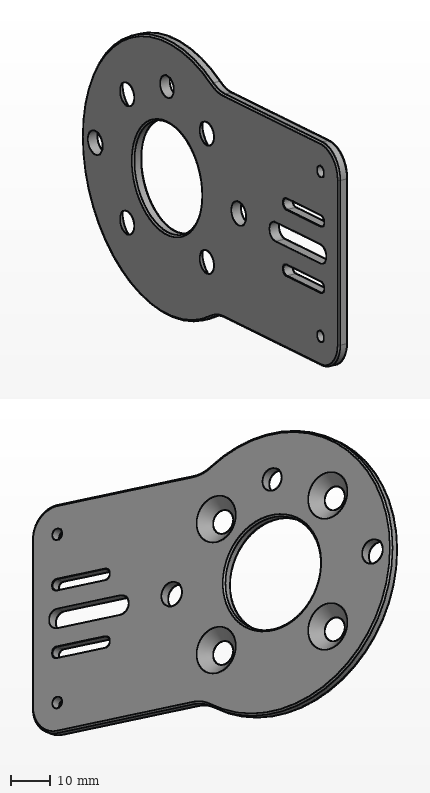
import cadquery as cq
import math

overall_length = 113.0
thickness = 3.0
disc_diameter = 75.0
disc_radius = disc_diameter / 2
tab_end_x = overall_length - disc_radius
tab_half_width = 30.5
corner_radius = 8.0
neck_radius = 10.0
edge_chamfer = 0.5

bore_diameter = 30.0
corner_hole_diameter = 6.2
corner_hole_offset = 17.5
countersink_angle = 90.0
top_hole_diameter = 6.0
top_hole_z = 25.0
side_hole_diameter = 6.4
side_hole_offset = 31.5

pin_hole_diameter = 3.0
pin_hole_x = 67.5
pin_hole_z = 22.5
centre_slot_length = 25.0
centre_slot_width = 5.2
centre_slot_x = 57.5
side_slot_length = 18.0
side_slot_width = 2.9
side_slot_x = 60.0
side_slot_z = 9.0
side_slot_chamfer = 0.1


def plate_sketch():
    """Work plane across the plate, seen from -Y, lying on the front face."""
    return cq.Workplane("XZ", origin=(0, -thickness / 2, 0))


def through_solid(outline):
    """Extend an outline on the front face through to the back face."""
    return outline.extrude(-thickness)


def plate_blank():
    """Disc and tab joined by two concave necks, with square edges."""
    neck_centre_z = tab_half_width + neck_radius
    centre_distance = disc_radius + neck_radius
    neck_centre_x = math.sqrt(centre_distance**2 - neck_centre_z**2)
    touch_x = neck_centre_x * disc_radius / centre_distance
    touch_z = neck_centre_z * disc_radius / centre_distance
    corner_x = tab_end_x - corner_radius
    corner_z = tab_half_width - corner_radius
    outline = (
        plate_sketch()
        .moveTo(touch_x, touch_z)
        .threePointArc((-disc_radius, 0), (touch_x, -touch_z))
        .tangentArcPoint((neck_centre_x, -tab_half_width), relative=False)
        .lineTo(corner_x, -tab_half_width)
        .tangentArcPoint((tab_end_x, -corner_z), relative=False)
        .lineTo(tab_end_x, corner_z)
        .tangentArcPoint((corner_x, tab_half_width), relative=False)
        .lineTo(neck_centre_x, tab_half_width)
        .tangentArcPoint((touch_x, touch_z), relative=False)
        .close()
    )
    return through_solid(outline)


def round_holes(diameter, centres):
    return through_solid(plate_sketch().pushPoints(centres).circle(diameter / 2))


def countersunk_holes(diameter, centres):
    """Cones that start at the hole diameter on the front face and widen to the back face."""
    front_radius = diameter / 2
    back_radius = front_radius + thickness * math.tan(math.radians(countersink_angle / 2))
    cones = cq.Workplane()
    for x, z in centres:
        front_centre = cq.Vector(x, -thickness / 2, z)
        toward_back = cq.Vector(0, 1, 0)
        cones.add(cq.Solid.makeCone(front_radius, back_radius, thickness, front_centre, toward_back))
    return cones.combine()


def slots(length, width, centres):
    return through_solid(plate_sketch().pushPoints(centres).slot2D(length, width))


def mirrored(x, z):
    """A pair of points on either side of the plate's centre line."""
    return [(x, z), (x, -z)]


result = plate_blank().cut(round_holes(bore_diameter, [(0, 0)]))
result = result.faces("<Y or >Y").edges().chamfer(edge_chamfer)

side_slot_centres = mirrored(side_slot_x, side_slot_z)
result = result.cut(slots(side_slot_length, side_slot_width, side_slot_centres))
box_half_x = side_slot_length / 2 + side_slot_width
box_half_z = side_slot_z + side_slot_width
side_slot_region = cq.selectors.BoxSelector(
    (side_slot_x - box_half_x, -thickness, -box_half_z),
    (side_slot_x + box_half_x, thickness, box_half_z),
)
result = result.faces("<Y or >Y").edges(side_slot_region).chamfer(side_slot_chamfer)

result = result.cut(slots(centre_slot_length, centre_slot_width, [(centre_slot_x, 0)]))

side_holes = [(-side_hole_offset, 0), (side_hole_offset, 0)]
result = result.cut(round_holes(side_hole_diameter, side_holes))
result = result.cut(round_holes(top_hole_diameter, [(0, top_hole_z)]))
result = result.cut(round_holes(pin_hole_diameter, mirrored(pin_hole_x, pin_hole_z)))

corner_holes = [
    *mirrored(corner_hole_offset, corner_hole_offset),
    *mirrored(-corner_hole_offset, corner_hole_offset),
]
result = result.cut(countersunk_holes(corner_hole_diameter, corner_holes))